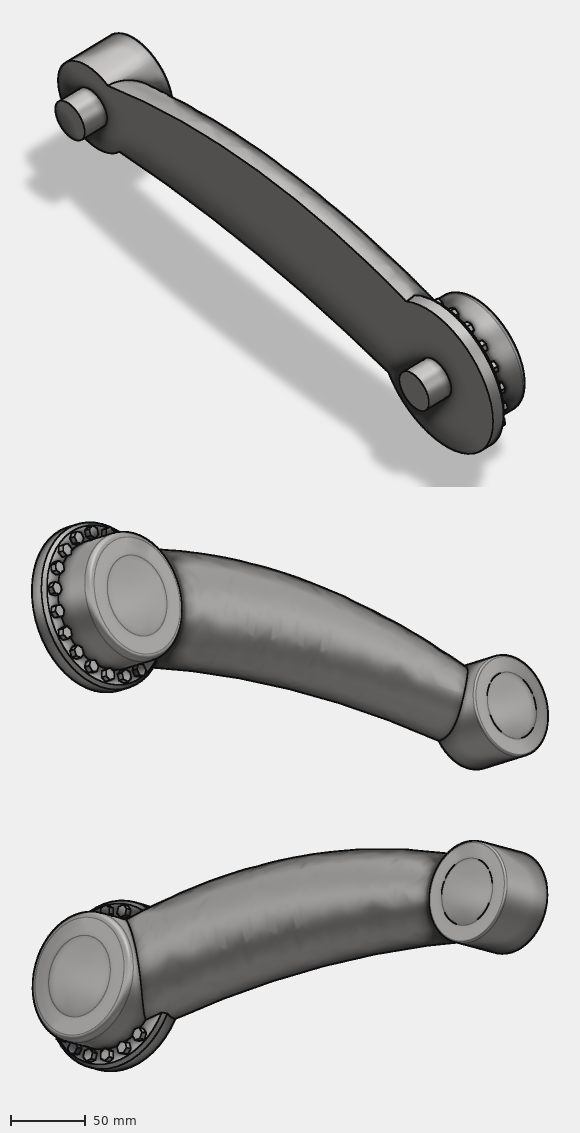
import cadquery as cq
import math

boss_spacing = 350.0
boss_height = 42.0
dome_height = 4.5

small_boss_radius = 35.0
small_boss_rounding = 1.5
small_dome_radius = 23.0

large_boss_radius = 44.5
large_boss_rounding = 4.5
large_dome_radius = 28.0

pin_radius = 15.0
pin_length = 20.0

flange_radius = 57.5
flange_thickness = 12.0
flange_chamfer = 2.5

peg_count = 14
peg_pitch_angle = 18
first_peg_angle = -18
peg_sides = 6
peg_corner_radius = 4.5
peg_height = 4.5
peg_circle_radius = 49.5

arm_height = 32.7
arm_section_count = 9
upper_crest_x = 197.5
upper_crest_z = 62.5
upper_edge_radius = 544.0
lower_crest_x = 135.0
lower_crest_z = -15.5
lower_edge_radius = 947.0


def cylinder(x, radius, start_y, length):
    """Cylinder along +Y, centred on the X axis, whose first end is at start_y."""
    return cq.Workplane("XY").add(
        cq.Solid.makeCylinder(radius, length, cq.Vector(x, start_y, 0), cq.Vector(0, 1, 0))
    )


def domed_boss(x, radius, rounding, dome_radius):
    """Round boss with a rounded rim and a shallow spherical cap on its end."""
    boss = cylinder(x, radius, 0, boss_height).faces(">Y").edges().fillet(rounding)
    sphere_radius = (dome_radius**2 + dome_height**2) / (2 * dome_height)
    sphere_center_y = boss_height + dome_height - sphere_radius
    sphere = cq.Workplane("XY").sphere(sphere_radius).translate((x, sphere_center_y, 0))
    cap = sphere.intersect(cylinder(x, dome_radius, 0, boss_height + dome_height))
    return boss.union(cap)


def arc_z(x, crest_x, crest_z, radius):
    """Height at x of an arc that curves down on both sides of its crest."""
    return crest_z - radius + math.sqrt(radius**2 - (x - crest_x) ** 2)


def arm_section(x):
    """Half-ellipse across the arm, with its flat side on the mounting face."""
    upper_z = arc_z(x, upper_crest_x, upper_crest_z, upper_edge_radius)
    lower_z = arc_z(x, lower_crest_x, lower_crest_z, lower_edge_radius)
    middle_z = (upper_z + lower_z) / 2
    half_width = (upper_z - lower_z) / 2
    section = (
        cq.Workplane("YZ", origin=(x, 0, middle_z))
        .moveTo(0, half_width)
        .lineTo(0, -half_width)
        .ellipseArc(arm_height, half_width, -90, 90, startAtCurrent=True)
        .close()
    )
    return section.val()


def curved_arm():
    """Arm between the two boss axes, lofted through evenly spaced half-ellipses."""
    step = boss_spacing / (arm_section_count - 1)
    sections = [arm_section(i * step) for i in range(arm_section_count)]
    return cq.Workplane("XY").add(cq.Solid.makeLoft(sections))


def hexagonal_peg(angle):
    """Peg at an angle in degrees from +Z toward +X, with one corner pointing outward."""
    peg = (
        cq.Workplane("XZ")
        .polygon(peg_sides, 2 * peg_corner_radius)
        .extrude(-(flange_thickness + peg_height))
        .translate((peg_circle_radius, 0, 0))
    )
    return peg.rotate((0, 0, 0), (0, 1, 0), angle - 90).translate((boss_spacing, 0, 0))


def pegged_flange():
    """Chamfered disc around the large boss with an arc of small hexagonal pegs."""
    flange = cylinder(boss_spacing, flange_radius, 0, flange_thickness)
    flange = flange.faces(">Y").edges().chamfer(flange_chamfer)
    for i in range(peg_count):
        flange = flange.union(hexagonal_peg(first_peg_angle + i * peg_pitch_angle))
    return flange


result = curved_arm()
result = result.union(domed_boss(0, small_boss_radius, small_boss_rounding, small_dome_radius))
result = result.union(domed_boss(boss_spacing, large_boss_radius, large_boss_rounding, large_dome_radius))
result = result.union(pegged_flange())
for pin_x in (0, boss_spacing):
    result = result.union(cylinder(pin_x, pin_radius, -pin_length, pin_length))
result = result.clean()